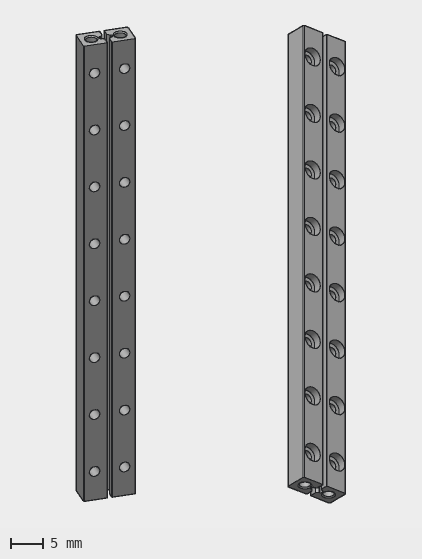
import cadquery as cq
import math

length = 80.0
width = 4.0
pair_depth = 8.5
gap = 0.7
inner_face = gap / 2
outer_face = pair_depth / 2
rail_depth = outer_face - inner_face
outer_chamfer = 0.2
inner_chamfer = 0.1

groove_mouth = 1.4
slot_width = 0.6
slot_wall_depth = 0.6
flank_depth = (groove_mouth - slot_width) / 2
groove_depth = slot_wall_depth + slot_width / 2

hole_count = 8
hole_pitch = 10.0
hole_row_spacing = 4.9
hole_diameter = 1.7
counterbore_diameter = 3.0
counterbore_depth = 1.4

end_hole_spacing = 4.7
end_hole_diameter = 1.8
end_hole_depth = 3.0
end_rim_diameter = 2.2
drill_point_angle = 90.0


def rail_blank():
    """Plain rail on the +Y side, with its four long edges chamfered."""
    blank = cq.Workplane("XY").box(width, rail_depth, length)
    blank = blank.faces(">Y").edges("|Z").chamfer(outer_chamfer)
    blank = blank.faces("<Y").edges("|Z").chamfer(inner_chamfer)
    return blank.translate((0, inner_face + rail_depth / 2, 0))


def running_groove():
    """Cutter for the groove, over the full length of the rail."""
    half_mouth = groove_mouth / 2
    half_slot = slot_width / 2
    return (
        cq.Workplane("XY", origin=(0, inner_face, -length / 2))
        .moveTo(-half_mouth, 0)
        .lineTo(-half_slot, flank_depth)
        .lineTo(-half_slot, slot_wall_depth)
        .lineTo(0, groove_depth)
        .lineTo(half_slot, slot_wall_depth)
        .lineTo(half_slot, flank_depth)
        .lineTo(half_mouth, 0)
        .close()
        .extrude(length)
    )


def mounting_holes():
    """Cutter for the row of through holes, counterbored from the -X face."""
    centres = (
        cq.Workplane("YZ", origin=(-width / 2, hole_row_spacing / 2, 0))
        .rarray(0.8, hole_pitch, 1, hole_count)
    )
    through = centres.circle(hole_diameter / 2).extrude(width)
    counterbores = centres.circle(counterbore_diameter / 2).extrude(counterbore_depth)
    return through.union(counterbores)


def top_end_hole():
    """Cutter for the blind hole in the top end, turned about its own axis."""
    radius = end_hole_diameter / 2
    rim_radius = end_rim_diameter / 2
    rim_depth = rim_radius - radius
    point_depth = radius / math.tan(math.radians(drill_point_angle / 2))
    return (
        cq.Workplane("XZ", origin=(0, end_hole_spacing / 2, length / 2))
        .lineTo(rim_radius, 0)
        .lineTo(radius, -rim_depth)
        .lineTo(radius, -end_hole_depth)
        .lineTo(0, -end_hole_depth - point_depth)
        .close()
        .revolve(360, (0, 0), (0, 1))
    )


def make_rail():
    """Complete rail on the +Y side."""
    end_hole = top_end_hole()
    return (
        rail_blank()
        .cut(running_groove())
        .cut(mounting_holes())
        .cut(end_hole)
        .cut(end_hole.mirror("XY"))
    )


rear_rail = make_rail()
front_rail = rear_rail.mirror("XZ")

result = cq.Compound.makeCompound([*rear_rail.solids().vals(), *front_rail.solids().vals()])